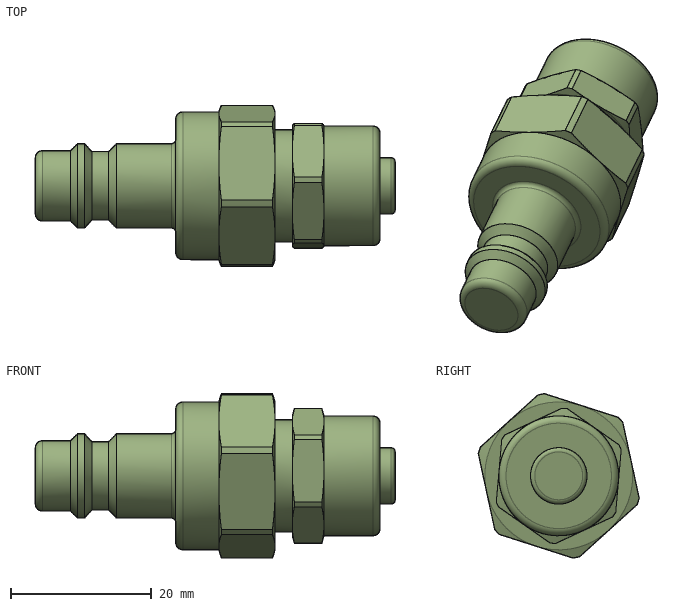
import cadquery as cq
import math

RING_RAMP_START = 5.0
RING_START = 6.05
RING_END = 7.0
GROOVE_START = 8.0
GROOVE_END = 10.4
SHANK_START = 11.55
COLLAR_START = 19.95
NUT_START = 26.05
NUT_END = 34.05
SMALL_HEX_START = 36.5
SMALL_HEX_END = 41.0
SLEEVE_END = 48.95
TOTAL_LENGTH = 51.1

TIP_DIAMETER = 10.0
SHANK_DIAMETER = 12.0
GROOVE_DIAMETER = 9.75
COLLAR_DIAMETER = 21.0
NECK_DIAMETER = 16.0
SLEEVE_DIAMETER = 17.0
STUB_DIAMETER = 8.0

EDGE_FILLET = 1.0
SHANK_ROOT_FILLET = 0.6
STUB_FILLET = 0.6

NUT_CORNER_DIAMETER = 23.7
NUT_ROTATION = 12.2
SMALL_HEX_CORNER_DIAMETER = 19.2
SMALL_HEX_ROTATION = -5.0
HEX_CHAMFER_ANGLE = 15.0


def arc_midpoint(center_x, center_r, radius, angle):
    """Point at the given angle in degrees on a circle in the axial half-plane."""
    a = math.radians(angle)
    return center_x + radius * math.cos(a), center_r + radius * math.sin(a)


def turned_body():
    """Revolve the stepped profile about the X axis."""
    tip_r = TIP_DIAMETER / 2
    shank_r = SHANK_DIAMETER / 2
    groove_r = GROOVE_DIAMETER / 2
    collar_r = COLLAR_DIAMETER / 2
    neck_r = NECK_DIAMETER / 2
    sleeve_r = SLEEVE_DIAMETER / 2
    stub_r = STUB_DIAMETER / 2
    f = EDGE_FILLET
    root = SHANK_ROOT_FILLET
    end = STUB_FILLET
    profile = (
        cq.Workplane("XY")
        .lineTo(0, tip_r - f)
        .threePointArc(arc_midpoint(f, tip_r - f, f, 135), (f, tip_r))
        .lineTo(RING_RAMP_START, tip_r)
        .lineTo(RING_START, shank_r)
        .lineTo(RING_END, shank_r)
        .lineTo(GROOVE_START, groove_r)
        .lineTo(GROOVE_END, groove_r)
        .lineTo(SHANK_START, shank_r)
        .lineTo(COLLAR_START - root, shank_r)
        .threePointArc(
            arc_midpoint(COLLAR_START - root, shank_r + root, root, -45),
            (COLLAR_START, shank_r + root),
        )
        .lineTo(COLLAR_START, collar_r - f)
        .threePointArc(
            arc_midpoint(COLLAR_START + f, collar_r - f, f, 135),
            (COLLAR_START + f, collar_r),
        )
        .lineTo(NUT_START, collar_r)
        .lineTo(NUT_START, neck_r)
        .lineTo(SMALL_HEX_END, neck_r)
        .lineTo(SMALL_HEX_END, sleeve_r)
        .lineTo(SLEEVE_END - f, sleeve_r)
        .threePointArc(
            arc_midpoint(SLEEVE_END - f, sleeve_r - f, f, 45),
            (SLEEVE_END, sleeve_r - f),
        )
        .lineTo(SLEEVE_END, stub_r)
        .lineTo(TOTAL_LENGTH - end, stub_r)
        .threePointArc(
            arc_midpoint(TOTAL_LENGTH - end, stub_r - end, end, 45),
            (TOTAL_LENGTH, stub_r - end),
        )
        .lineTo(TOTAL_LENGTH, 0)
        .close()
    )
    return profile.revolve(360, (0, 0, 0), (1, 0, 0))


def hex_section(start, end, across_flats, corner_diameter, rotation):
    """Hexagonal prism along X with turned corners and conical end chamfers."""
    flat_r = across_flats / 2
    corner_r = corner_diameter / 2
    chamfer_length = (corner_r - flat_r) * math.tan(math.radians(HEX_CHAMFER_ANGLE))
    prism = (
        cq.Workplane("YZ", origin=(start, 0, 0))
        .polygon(6, 2 * flat_r / math.cos(math.pi / 6))
        .extrude(end - start)
        .rotate((0, 0, 0), (1, 0, 0), 90 + rotation)
    )
    envelope = (
        cq.Workplane("XY")
        .moveTo(start, 0)
        .lineTo(start, flat_r)
        .lineTo(start + chamfer_length, corner_r)
        .lineTo(end - chamfer_length, corner_r)
        .lineTo(end, flat_r)
        .lineTo(end, 0)
        .close()
        .revolve(360, (0, 0, 0), (1, 0, 0))
    )
    return prism.intersect(envelope)


nut = hex_section(NUT_START, NUT_END, COLLAR_DIAMETER, NUT_CORNER_DIAMETER, NUT_ROTATION)
small_hex = hex_section(
    SMALL_HEX_START, SMALL_HEX_END, SLEEVE_DIAMETER, SMALL_HEX_CORNER_DIAMETER, SMALL_HEX_ROTATION
)
result = turned_body().union(nut).union(small_hex)